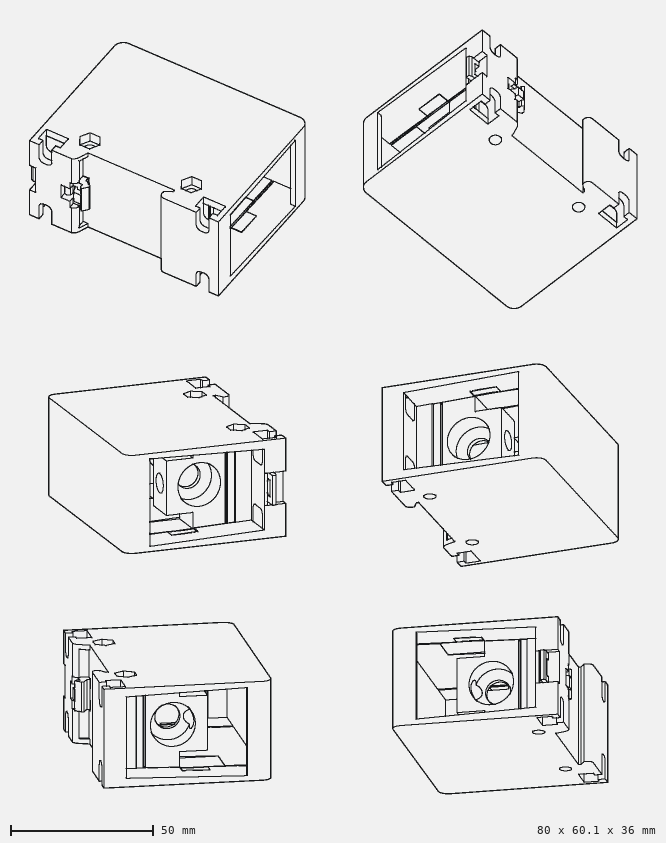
import cadquery as cq
import math


overall_length = 80.0
length = 77.9
height = 60.1
width = 36.0
half_width = width / 2
mid_x = length / 2
cap_corner_radius = 3.7

floor_y = 8.0
cap_edge_y = 51.0
draft_end_y = 52.8
roof_y = 57.8
cap_end_wall = 2.0
floor_half_width = 14.8
roof_half_width = 16.1
panel_groove_width = 0.7
panel_groove_depth = 0.4

wall_x = 13.9
wall_thickness = 12.8
wall_shoulder_y = 29.5
wall_top_y = 39.4
wall_top_half_width = 10.0
sill_x = 12.7
sill_y = 13.9
groove_y = 16.6
groove_height = 0.7
groove_depth = 0.6
entry_y = 27.1
entry_mouth_radius = 8.0
entry_bore_radius = 4.5
entry_counterbore_depth = 8.8
entry_cone_depth = 1.8
clamp_hole_x = 20.5
clamp_hole_radius = 3.5
side_recess_x = 8.8
side_recess_half_width = 15.8
wall_recess_top_y = 45.6
wall_recess_half_width = 16.0

screw_x = 18.0
screw_y = 11.0
screw_hole_diameter = 4.3
nut_across_corners = 8.2
nut_depth = 4.0

slot_center_x = 6.6
neck_width = 5.2
neck_depth = 8.1
head_width = 9.0
head_depth = neck_depth + (head_width - neck_width) / 2
head_y = 2.6
slot_corner_radius = 2.0

seat_y = 5.5
seat_left_x = 20.7
seat_right_x = 56.3
jaw_x = 19.4
jaw_y = 2.0
jaw_bulge = 0.3
jaw_undercut = 0.6
hook_x = 53.4
hook_y = 2.9
hook_root_y = 4.6
seat_edge_radius = 2.0
end_plate = 1.8

latch_half_width = 5.4
channel_half_width = 5.9
channel_roof_y = 6.9
channel_end_x = 21.1
mouth_x = 2.5
mouth_relief_x = 1.4
mouth_relief_y = 7.7
relief_bulge = 0.2
mouth_inset = 0.2
jaw_notch_x = 16.6
latch_tail_x = length - overall_length
latch_bottom_y = 4.0
latch_top_y = 5.8
latch_tip_x = 23.2
grip_slot_x = 0.5
grip_half_width = 3.0
spring_half_width = 2.2
spring_window_x = 13.0
spring_window_end_x = 18.5


def block(x0, x1, y0, y1, z0, z1):
    return cq.Workplane("XY").box(x1 - x0, y1 - y0, z1 - z0, centered=False).translate((x0, y0, z0))


def centered_block(x0, x1, y0, y1, half_z):
    return block(x0, x1, y0, y1, -half_z, half_z)


def prism(outline, half_z):
    """Extrude a closed XY outline symmetrically about Z = 0."""
    return outline.close().extrude(half_z, both=True)


def with_mirror_end(shape):
    """Repeat a shape at the opposite X end."""
    return shape.union(shape.mirror("YZ", (mid_x, 0, 0)))


def cavity_section(x0, x1, extra=0):
    """Cavity between x0 and x1, drafted up to draft_end_y and parallel above, widened by extra."""
    low = floor_half_width + extra
    high = roof_half_width + extra
    points = [(floor_y, -low), (draft_end_y, -high), (roof_y, -high)]
    points += [(y, -z) for y, z in reversed(points)]
    return cq.Workplane("YZ").polyline(points).close().extrude(x1 - x0).translate((x0, 0, 0))


def housing_shell():
    box = centered_block(0, length, 0, height, half_width)
    box = box.edges("|Z and >Y").fillet(cap_corner_radius)
    cap_wall = centered_block(0, cap_end_wall, cap_edge_y, height, half_width)
    cavity = cavity_section(0, length).cut(with_mirror_end(cap_wall))
    panel_groove = cavity_section(wall_x - panel_groove_width, wall_x, panel_groove_depth)
    side_recess = centered_block(side_recess_x, wall_x, wall_shoulder_y, wall_top_y, side_recess_half_width)
    wall_recess = centered_block(
        wall_x, wall_x + wall_thickness, wall_shoulder_y, wall_recess_top_y, wall_recess_half_width
    )
    return box.cut(cavity).cut(with_mirror_end(panel_groove.union(side_recess).union(wall_recess)))


def cross_wall():
    """Stepped wall with a counterbored cable entry and a sill at its foot."""
    wall_end = wall_x + wall_thickness
    wall = centered_block(wall_x, wall_end, floor_y, wall_shoulder_y, half_width)
    wall = wall.union(centered_block(wall_x, wall_end, wall_shoulder_y, wall_top_y, wall_top_half_width))
    wall = wall.union(centered_block(sill_x, wall_end, floor_y, sill_y, half_width))
    groove_end = wall_x + groove_depth
    wall = wall.cut(centered_block(wall_x, groove_end, groove_y, groove_y + groove_height, half_width))

    cone_x = wall_x + entry_counterbore_depth
    cone_end_x = cone_x + entry_cone_depth
    entry = (
        cq.Workplane("XY")
        .moveTo(wall_x, 0)
        .lineTo(wall_x, entry_mouth_radius)
        .lineTo(cone_x, entry_mouth_radius)
        .lineTo(cone_end_x, entry_bore_radius)
        .lineTo(wall_end, entry_bore_radius)
        .lineTo(wall_end, 0)
        .close()
        .revolve(360, (0, 0, 0), (1, 0, 0))
        .translate((0, entry_y, 0))
    )
    clamp_hole = cq.Workplane("XZ", origin=(clamp_hole_x, entry_y, 0)).circle(clamp_hole_radius)
    clamp_hole = clamp_hole.extrude(entry_y - wall_top_y)
    return wall.cut(entry).cut(clamp_hole)


def screw_holes():
    centers = [(screw_x, screw_y), (length - screw_x, screw_y)]
    holes = cq.Workplane("XY").pushPoints(centers).circle(screw_hole_diameter / 2)
    holes = holes.extrude(half_width, both=True)
    nuts = cq.Workplane("XY").workplane(offset=half_width - nut_depth).pushPoints(centers)
    return holes.union(nuts.polygon(6, nut_across_corners).extrude(nut_depth))


def corner_slots():
    def rounded_slot(slot_width, depth, y0, y1):
        x0 = slot_center_x - slot_width / 2
        slot = block(x0, x0 + slot_width, y0, y1, half_width - depth, half_width)
        return slot.edges("|Y and <Z").fillet(slot_corner_radius)

    slot = rounded_slot(neck_width, neck_depth, 0, head_y)
    slot = slot.union(rounded_slot(head_width, head_depth, head_y, floor_y))
    return with_mirror_end(slot.union(slot.mirror("XY")))


def rail_seat():
    """Seat for the rail: rounded jaw on the left, undercut hook on the right."""
    r = seat_edge_radius
    arc_mid = r * math.sqrt(0.5)
    jaw_start_x = jaw_x - jaw_y
    right_arc_x = hook_x + r
    seat = (
        cq.Workplane("XY")
        .moveTo(jaw_start_x, 0)
        .sagittaArc((jaw_x, jaw_y), -jaw_bulge)
        .lineTo(seat_left_x, seat_y)
        .lineTo(seat_right_x, seat_y)
        .lineTo(seat_right_x, hook_root_y)
        .lineTo(hook_x, hook_y)
        .lineTo(hook_x, r)
        .threePointArc((right_arc_x - arc_mid, r - arc_mid), (right_arc_x, 0))
    )
    undercut_x = jaw_x - jaw_undercut
    inner_clearance = centered_block(undercut_x, seat_left_x, jaw_y, seat_y, half_width - end_plate)
    return prism(seat, half_width).union(inner_clearance)


def spring_window():
    """Opening around the spring tongue, shared by the rail side and the latch body."""
    return centered_block(spring_window_x, spring_window_end_x, 0, latch_bottom_y, grip_half_width)


def latch_channel():
    """Channel through the rail side, with a relieved mouth and openings toward the rail."""
    channel = centered_block(0, channel_end_x, latch_bottom_y, channel_roof_y, channel_half_width)
    mouth = (
        cq.Workplane("XY")
        .lineTo(mouth_x, 0)
        .lineTo(mouth_x, mouth_relief_y)
        .sagittaArc((mouth_relief_x, channel_roof_y), relief_bulge)
        .lineTo(mouth_inset, channel_roof_y)
        .lineTo(mouth_inset, floor_y)
        .lineTo(0, floor_y)
    )
    jaw_notch = centered_block(jaw_notch_x, channel_end_x, 0, channel_roof_y, channel_half_width)
    return channel.union(prism(mouth, channel_half_width)).union(jaw_notch).union(spring_window())


def latch():
    """Sliding latch: chamfered tail, flat body and a wedge-shaped tip."""
    tail_chamfer_x = 1.1
    tail_chamfer_y = 0.6
    tip_back_x = 20.6
    tip_low_y = 2.2
    tip_high_y = 3.0
    tip_root_y = 4.5
    tip_edge = 0.8
    body = cq.Workplane("XY").polyline([
        (latch_tail_x, latch_top_y),
        (latch_tail_x, latch_bottom_y + tail_chamfer_y),
        (latch_tail_x + tail_chamfer_x, latch_bottom_y),
        (jaw_notch_x, latch_bottom_y),
        (jaw_notch_x, jaw_y),
        (tip_back_x, jaw_y),
        (tip_back_x, tip_edge),
        (tip_back_x + tip_edge, 0),
        (latch_tip_x, tip_low_y),
        (latch_tip_x, tip_high_y),
        (tip_back_x, tip_root_y),
        (tip_back_x, latch_top_y),
    ])
    body = prism(body, latch_half_width)
    rib = centered_block(mouth_x, tip_back_x, latch_top_y, channel_roof_y, spring_half_width)
    grip_slot = centered_block(grip_slot_x, mouth_x, latch_bottom_y, latch_top_y, grip_half_width)
    return body.union(rib).cut(grip_slot).cut(spring_window()).union(latch_spring())


def latch_spring():
    """Tongue under the latch: a rounded bump, a valley and a ramp up to a flat pad."""
    bump_side_y = 2.8
    bump_crest = (14.3, 1.4)
    bump_end = (15.6, 2.0)
    valley_y = 3.2
    valley_start_x = 15.9
    valley_end_x = 16.7
    ramp_knee = (17.8, 1.2)
    pad_start_x = 18.2
    spring = (
        cq.Workplane("XY")
        .moveTo(spring_window_x, latch_bottom_y)
        .lineTo(spring_window_x, bump_side_y)
        .threePointArc(bump_crest, bump_end)
        .lineTo(valley_start_x, valley_y)
        .lineTo(valley_end_x, valley_y)
        .lineTo(*ramp_knee)
        .lineTo(pad_start_x, 0)
        .lineTo(channel_end_x, 0)
        .lineTo(channel_end_x, latch_bottom_y)
    )
    return prism(spring, spring_half_width)


result = housing_shell().union(with_mirror_end(cross_wall()))
result = result.cut(screw_holes())
result = result.cut(corner_slots())
result = result.cut(rail_seat())
result = result.cut(latch_channel())
result = result.union(latch())